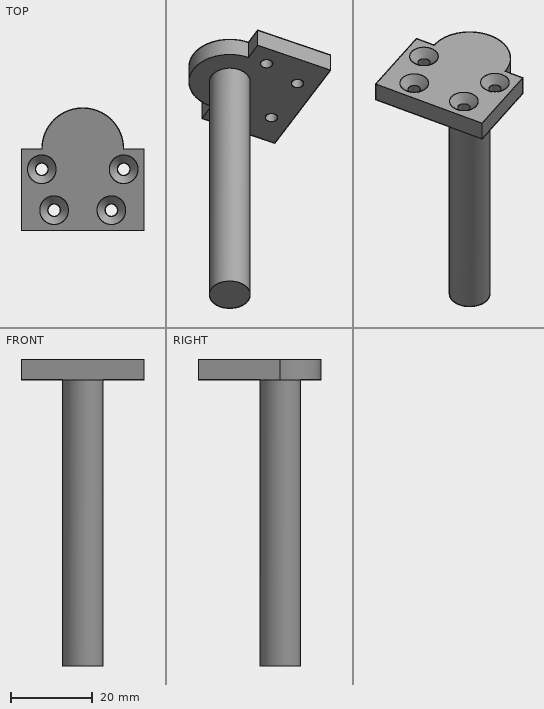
import cadquery as cq

plate_width = 30.0
plate_depth = 20.0
plate_thickness = 5.0
lobe_diameter = 20.0

pin_diameter = 10.0
pin_length = 70.0

hole_diameter = 3.0
countersink_diameter = 7.0
countersink_angle = 90.0
hole_pairs = [
    (10.0, -5.0),
    (7.0, -15.0),
]


def make_plate():
    """Rectangle with its back edge on the X axis, joined to the round lobe."""
    rectangle = cq.Workplane("XY").box(
        plate_width, plate_depth, plate_thickness, centered=(True, False, False)
    ).translate((0, -plate_depth, 0))
    lobe = cq.Workplane("XY").circle(lobe_diameter / 2).extrude(plate_thickness)
    return rectangle.union(lobe)


def make_pin():
    """Round pin running down from the underside of the plate."""
    return cq.Workplane("XY").circle(pin_diameter / 2).extrude(-pin_length)


def cut_screw_holes(body):
    """Drill the screw holes through the plate, countersunk from the top."""
    hole_centers = [(side * x, y) for x, y in hole_pairs for side in (-1, 1)]
    return (
        body.faces(">Z")
        .workplane(origin=(0, 0, plate_thickness))
        .pushPoints(hole_centers)
        .cskHole(hole_diameter, countersink_diameter, countersink_angle, depth=plate_thickness)
    )


result = cut_screw_holes(make_plate()).union(make_pin())